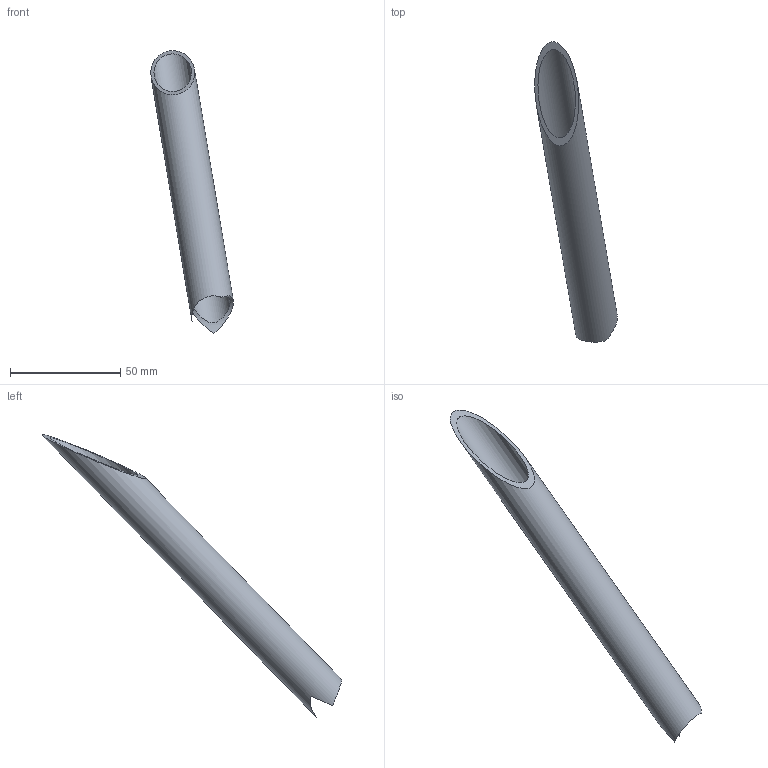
import cadquery as cq

outer_radius = 10.0
wall = 1.5
inner_radius = outer_radius - wall

brace_run = cq.Vector(-18.61, 107.99, 110.98)
brace_direction = brace_run.normalized()

end_allowance = 40.0
cutter_size = 80.0

x_axis = cq.Vector(1, 0, 0)
y_axis = cq.Vector(0, 1, 0)


def half_space(origin, normal):
    """Large block on the side of a plane that the normal points to."""
    plane = cq.Plane(origin=origin, normal=normal)
    return cq.Workplane(plane).rect(cutter_size, cutter_size).extrude(cutter_size)


def brace_tube():
    """Plain tube along the brace centreline, overlong at both ends."""
    start = brace_direction * -end_allowance
    length = brace_run.Length + 2 * end_allowance
    section = cq.Workplane(cq.Plane(origin=start, normal=brace_direction))
    return section.circle(outer_radius).circle(inner_radius).extrude(length)


def corner_pipe(direction):
    """Solid pipe envelope through the corner, centred on it."""
    start = direction * (-cutter_size / 2)
    return cq.Workplane(cq.Plane(origin=start, normal=direction)).circle(outer_radius).extrude(cutter_size)


def elbow_legs():
    """Two mitred pipe envelopes that form an elbow and leave the corner towards +X and -Y."""
    mitre_normal = x_axis + y_axis
    x_leg = corner_pipe(x_axis).intersect(half_space(cq.Vector(), mitre_normal))
    y_leg = corner_pipe(y_axis).intersect(half_space(cq.Vector(), mitre_normal * -1))
    return x_leg, y_leg


def upper_mitre():
    """Block covering everything past the mitre plane shared with an equal pipe along Y."""
    return half_space(brace_run, brace_direction - y_axis)


def cope(tube):
    """Fit the lower end around the elbow and keep the length above it."""
    for leg in elbow_legs():
        tube = tube.cut(leg)
    pieces = tube.solids().vals()
    return cq.Workplane(max(pieces, key=lambda piece: piece.Volume()))


result = cope(brace_tube().cut(upper_mitre()))